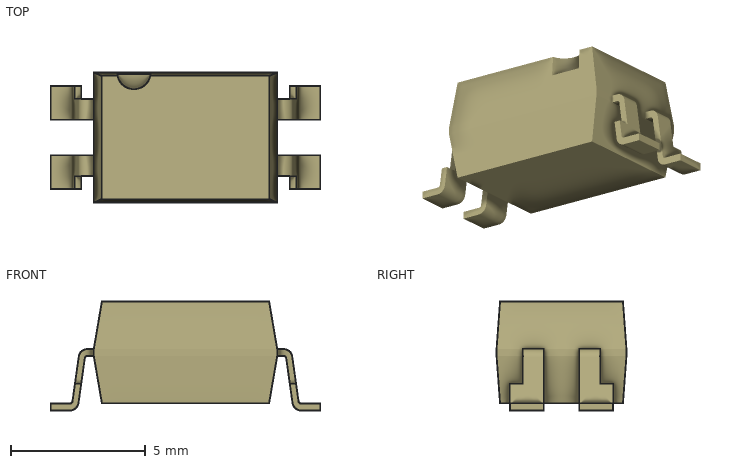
import cadquery as cq
import math

span = 10.03
lead_thickness = 0.27
lead_top = 2.3

belt_length = 6.82
belt_width = 4.83
belt_bottom = lead_top - lead_thickness
housing_bottom = lead_thickness
housing_top = 4.06
end_inset = 0.3
side_inset = 0.13

mark_x = -1.92
mark_radius = 0.62
mark_depth = 0.75

shank_lean = 8.0
shank_run = 0.24
outer_bend_radius = 0.34
inner_bend_radius = 0.09
shoulder_height = 0.99
shoulder_x = 4.11
lead_inner_y = 0.65
shank_outer_y = 1.43
foot_outer_y = 1.92


def tapered_half(belt_height, end_height):
    """Loft from the belt outline to the smaller flat end of the housing."""
    return (
        cq.Workplane("XY")
        .workplane(offset=belt_height)
        .rect(belt_length, belt_width)
        .workplane(offset=end_height - belt_height)
        .rect(belt_length - 2 * end_inset, belt_width - 2 * side_inset)
        .loft(combine=True, ruled=True)
    )


def make_housing():
    belt = (
        cq.Workplane("XY")
        .workplane(offset=belt_bottom)
        .rect(belt_length, belt_width)
        .extrude(lead_thickness)
    )
    mark = (
        cq.Workplane("XY")
        .workplane(offset=housing_top - mark_depth)
        .center(mark_x, belt_width / 2)
        .circle(mark_radius)
        .extrude(mark_depth)
    )
    upper = tapered_half(lead_top, housing_top)
    lower = tapered_half(belt_bottom, housing_bottom)
    return belt.union(upper).union(lower).cut(mark)


def outer_face_x(z):
    """X of the shank's outward face, which leans outward toward the foot."""
    return shoulder_x + (shoulder_height - z) * math.tan(math.radians(shank_lean))


def inner_face_x(z):
    """X of the shank's face toward the housing."""
    return outer_face_x(z) - shank_run


def bend_edge(x, z):
    """Select the lead's sharp bend edge along Y that passes through (x, z)."""
    middle_y = (lead_inner_y + foot_outer_y) / 2
    return cq.selectors.NearestToPointSelector((x, middle_y, z))


def make_lead():
    """Build the lead in the +X, +Y quarter, ending flush against the belt."""
    outer_top = (outer_face_x(lead_top), lead_top)
    inner_top = (inner_face_x(belt_bottom), belt_bottom)
    outer_foot = (outer_face_x(lead_thickness), lead_thickness)
    inner_foot = (inner_face_x(0), 0)
    outline = [
        (belt_length / 2, lead_top),
        outer_top,
        outer_foot,
        (span / 2, lead_thickness),
        (span / 2, 0),
        inner_foot,
        inner_top,
        (belt_length / 2, belt_bottom),
    ]
    lead = (
        cq.Workplane("XZ", origin=(0, foot_outer_y, 0))
        .polyline(outline)
        .close()
        .extrude(foot_outer_y - lead_inner_y)
    )
    for corner in (outer_top, inner_foot):
        lead = lead.edges("|Y").edges(bend_edge(*corner)).fillet(outer_bend_radius)
    for corner in (inner_top, outer_foot):
        lead = lead.edges("|Y").edges(bend_edge(*corner)).fillet(inner_bend_radius)

    shank_relief = cq.Workplane("XY").box(
        span / 2,
        foot_outer_y - shank_outer_y,
        lead_top - shoulder_height,
        centered=False,
    ).translate((0, shank_outer_y, shoulder_height))
    return lead.cut(shank_relief)


def make_leads():
    """Mirror the quarter lead to both ends and both sides of the housing."""
    right_rear = make_lead()
    leads = []
    for rear in (right_rear, right_rear.mirror("YZ")):
        front = rear.mirror("XZ")
        leads += [rear.val(), front.val()]
    return leads


housing = make_housing()
result = cq.Compound.makeCompound([housing.val(), *make_leads()])